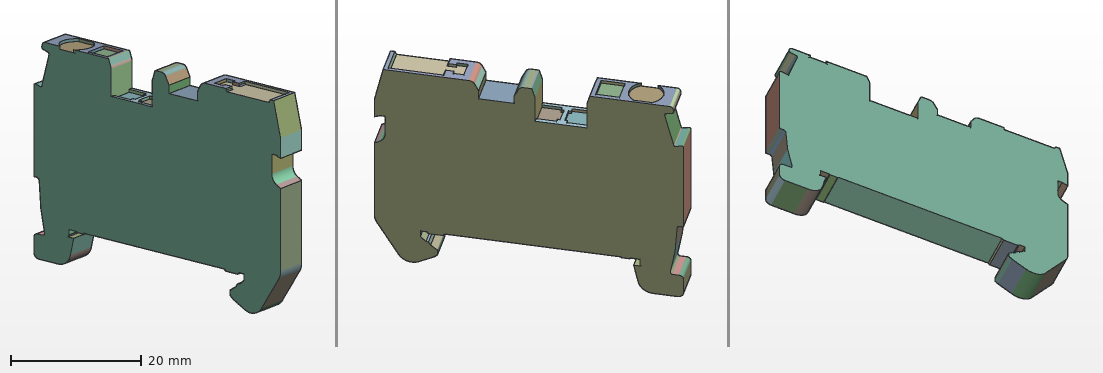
import math

import cadquery as cq

length = 48.8
thickness = 5.15
height = 35.4

rail_level = 6.05
left_step_top = 28.35
left_step_bottom = 13.2
left_foot_top = 4.05
right_pad_level = 5.75
left_pad_level = 5.9
hook_wall = 6.95
hook_level = 4.85
toe_wall = 41.55
toe_tip = 38.8

deep_notch_left = 15.25
deep_notch_right = 23.4
deep_notch_floor = 29.4

shallow_notch_left = 26.75
shallow_notch_right = 32.35
shallow_notch_floor = 32.2
notch_bevel_start = 33.7

side_notch_wall = 47.1
side_notch_bottom = 21.4
side_notch_top = 26.65

recess_depth = 0.5
window_front = 0.65
window_back = 4.45

dial_x = 6.55
dial_y = 2.4
dial_radius = 2.75
dial_back = 4.75

window_left = 10.3
window_right = 14.05

tab_front = 1.25
tab_back = 3.85
tab_length = 0.45
port_gap = 0.75
port_middle = 19.4

label_left = 38.0
label_right = 46.75
label_back = 4.6
label_end_slope = 0.3
label_lip = 0.2
tail_neck_left = 36.7
tail_neck_front = 1.4
tail_neck_back = 3.2
tail_head_left = 35.0
tail_head_front = 0.95
tail_head_back = 3.8

left_wall = [
    (0, left_step_bottom, 0.15),
    (0, left_step_top, 0.3),
    (1.5, 28.0, 0.15),
    (3.05, 33.85, 0.35),
]
top_left_lip = [
    (1.45, 34.25, 0.4),
    (1.8, height, 0.5),
]
deep_notch = [
    (14.8, height, 0.15),
    (deep_notch_left, 34.0, 1.45),
    (deep_notch_left, deep_notch_floor, 0),
    (deep_notch_right, deep_notch_floor, 0),
    (deep_notch_right, notch_bevel_start, 0),
    (23.95, height, 0.15),
]
shallow_notch = [
    (25.8, height, 0.95),
    (shallow_notch_left, 33.55, 0),
    (shallow_notch_left, shallow_notch_floor, 0),
    (shallow_notch_right, shallow_notch_floor, 0),
    (shallow_notch_right, notch_bevel_start, 0),
    (33.25, height, 1.05),
]
right_wall = [
    (47.45, height, 0),
    (length, 29.55, 0),
    (length, 26.3, 0),
    (47.8, side_notch_top, 0),
    (side_notch_wall, side_notch_top, 0.2),
    (side_notch_wall, 22.35, 1.7),
    (length, side_notch_bottom, 0),
    (length, 7.25, 2.45),
]
right_foot = [
    (43.75, -0.8, 2.5),
    (39.35, 1.55, 0.25),
    (toe_tip, 2.05, 0.25),
    (toe_tip, 2.9, 0.15),
    (39.9, 3.65, 0),
    (40.25, 4.2, 0),
    (40.65, 4.25, 0),
    (toe_wall, 5.05, 0),
    (toe_wall, rail_level, 0),
]
rail_pads = [
    (40.55, rail_level, 0),
    (40.3, right_pad_level, 0),
    (37.9, right_pad_level, 0),
    (37.65, rail_level, 0),
    (9.9, rail_level, 0),
    (9.8, left_pad_level, 0),
    (8.55, left_pad_level, 0),
    (8.45, rail_level, 0),
]
left_foot = [
    (hook_wall, rail_level, 0),
    (hook_wall, 5.15, 0),
    (6.8, hook_level, 0),
    (7.9, hook_level, 0),
    (6.8, 0, 2.45),
    (0, 0, 1.0),
    (0, left_foot_top, 0.75),
    (2.2, left_foot_top, 0.4),
    (1.35, 8.4, 0),
    (1.02, left_step_bottom, 0.5),
]
profile_corners = (
    left_wall + top_left_lip + deep_notch + shallow_notch
    + right_wall + right_foot + rail_pads + left_foot
)


def rounded_corner(before, corner, after):
    """Return the arc (start, middle, end) that rounds a corner, or just the sharp corner."""
    x, z, radius = corner
    if radius == 0:
        return [(x, z)]
    to_before = cq.Vector(before[0] - x, before[1] - z).normalized()
    to_after = cq.Vector(after[0] - x, after[1] - z).normalized()
    half_angle = to_before.getAngle(to_after) / 2
    tangent_length = radius / math.tan(half_angle)
    bisector = (to_before + to_after).normalized()
    point = cq.Vector(x, z)
    start = point + to_before * tangent_length
    middle = point + bisector * (radius / math.sin(half_angle) - radius)
    end = point + to_after * tangent_length
    return [(p.x, p.y) for p in (start, middle, end)]


def make_body():
    """Extrude the side profile from the front face (Y = 0) to the back face."""
    first_start = rounded_corner(profile_corners[-1], *profile_corners[:2])[0]
    outline = cq.Workplane("XZ").moveTo(*first_start)
    for i, corner in enumerate(profile_corners):
        after = profile_corners[(i + 1) % len(profile_corners)]
        points = rounded_corner(profile_corners[i - 1], corner, after)
        if i > 0:
            outline = outline.lineTo(*points[0])
        if len(points) > 1:
            outline = outline.threePointArc(points[1], points[2])
    return outline.close().extrude(-thickness)


def box(x_range, y_range, z_range):
    """Box spanning the given (low, high) ranges."""
    sizes = [high - low for low, high in (x_range, y_range, z_range)]
    corner = (x_range[0], y_range[0], z_range[0])
    return cq.Workplane("XY").box(*sizes, centered=False).translate(corner)


top_recess = (height - recess_depth, height)
notch_recess = (deep_notch_floor - recess_depth, deep_notch_floor)


def make_dial():
    """Round recess, trimmed flat at the back and cut through the front face."""
    disc = (
        cq.Workplane("XY", origin=(dial_x, dial_y, top_recess[0]))
        .circle(dial_radius)
        .extrude(recess_depth)
    )
    reach = (dial_x - dial_radius, dial_x + dial_radius)
    return disc.intersect(box(reach, (0, dial_back), top_recess))


def make_window():
    """Plain square recess beside the round one."""
    return box((window_left, window_right), (window_front, window_back), top_recess)


def make_ports():
    """Two facing recesses that run from the notch walls towards each other."""
    left_tab_end = port_middle - port_gap / 2
    right_tab_end = port_middle + port_gap / 2
    left_end = left_tab_end - tab_length
    right_end = right_tab_end + tab_length
    return (
        box((deep_notch_left, left_end), (window_front, window_back), notch_recess)
        .union(box((deep_notch_left, left_tab_end), (tab_front, tab_back), notch_recess))
        .union(box((right_end, deep_notch_right), (window_front, window_back), notch_recess))
        .union(box((right_tab_end, deep_notch_right), (tab_front, tab_back), notch_recess))
    )


def make_label():
    """Long recess with a leaning right end and a T-shaped tail."""
    floor = top_recess[0]
    field = (
        cq.Workplane("XZ")
        .moveTo(label_left, height)
        .lineTo(label_right, height)
        .lineTo(label_right - label_end_slope, floor)
        .lineTo(label_left + label_lip, floor)
        .lineTo(label_left, floor + label_lip)
        .close()
        .extrude(-label_back)
    )
    neck_right = label_left + label_lip
    neck = box((tail_neck_left, neck_right), (tail_neck_front, tail_neck_back), top_recess)
    head = box((tail_head_left, tail_neck_left), (tail_head_front, tail_head_back), top_recess)
    return field.union(neck).union(head)


result = make_body()
for recess in (make_dial(), make_window(), make_ports(), make_label()):
    result = result.cut(recess)